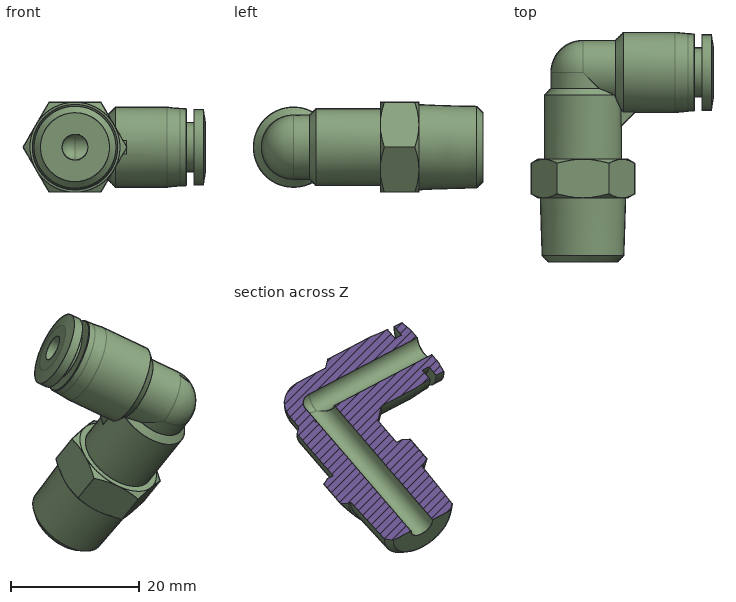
import cadquery as cq
import math


elbow_radius = 5.0
bore_radius = 2.0

stem_radius = 6.0
stem_chamfer = 1.0
stem_start = 2.5
stem_length = 29.5

hex_across_flats = 14.0
hex_start = 13.5
hex_height = 6.0
hex_end = hex_start + hex_height
hex_corner_radius = hex_across_flats / math.sqrt(3)
hex_chamfer_angle = 30.0

thread_root_radius = 6.65
thread_chamfer = 1.0
thread_taper_ratio = 1 / 32

sleeve_start = 5.05
sleeve_radius = 6.25
sleeve_taper_start = 14.35
sleeve_taper_end = 16.3
sleeve_taper_end_radius = 6.05
sleeve_rear_radius = 6.0
sleeve_end = 17.35
sleeve_edge_chamfer = 0.1

collar_neck_radius = 3.85
collar_flange_radius = 5.9
collar_flange_start = 18.5
collar_bevel_start = 19.97
collar_face_radius = 3.85
collar_end = 20.3

gusset_leg = 2.05
gusset_thickness = 2.1


def revolve_arm(profile):
    """Turn a profile of (distance, radius) points about the X axis."""
    outline = cq.Workplane("XY").polyline(profile).close()
    return outline.revolve(360, (0, 0, 0), (1, 0, 0))


def revolve_stem(profile):
    """Turn a profile of (distance, radius) points about the -Y axis."""
    points = [(radius, -distance) for distance, radius in profile]
    outline = cq.Workplane("XY").polyline(points).close()
    return outline.revolve(360, (0, 0, 0), (0, 1, 0))


def stem_cylinder(radius, start, end):
    plane = cq.Workplane("XZ", origin=(0, -start, 0))
    return plane.circle(radius).extrude(end - start)


def arm_cylinder(radius, start, end):
    plane = cq.Workplane("YZ", origin=(start, 0, 0))
    return plane.circle(radius).extrude(end - start)


def make_elbow():
    ball = cq.Workplane("XY").sphere(elbow_radius)
    down = stem_cylinder(elbow_radius, 0, hex_start)
    across = arm_cylinder(elbow_radius, 0, sleeve_taper_start)
    return ball.union(down).union(across)


def make_stem():
    return revolve_stem([
        (stem_start, 0),
        (stem_start, stem_radius - stem_chamfer),
        (stem_start + stem_chamfer, stem_radius),
        (hex_end, stem_radius),
        (hex_end, 0),
    ])


def make_hexagon():
    plane = cq.Workplane("XZ", origin=(0, -hex_start, 0))
    prism = plane.polygon(6, 2 * hex_corner_radius).extrude(hex_height)
    face_radius = hex_across_flats / 2
    overhang = hex_corner_radius - face_radius
    drop = overhang * math.tan(math.radians(hex_chamfer_angle))
    chamfer_cone = revolve_stem([
        (hex_start, 0),
        (hex_start, face_radius),
        (hex_start + drop, hex_corner_radius),
        (hex_end - drop, hex_corner_radius),
        (hex_end, face_radius),
        (hex_end, 0),
    ])
    return prism.intersect(chamfer_cone)


def make_thread():
    chamfer_start = stem_length - thread_chamfer
    tip_radius = thread_root_radius - (chamfer_start - hex_end) * thread_taper_ratio
    return revolve_stem([
        (hex_end, 0),
        (hex_end, thread_root_radius),
        (chamfer_start, tip_radius),
        (stem_length, tip_radius - thread_chamfer),
        (stem_length, 0),
    ])


def make_sleeve():
    front_chamfer = sleeve_radius - elbow_radius
    return revolve_arm([
        (sleeve_start, 0),
        (sleeve_start, elbow_radius),
        (sleeve_start + front_chamfer, sleeve_radius),
        (sleeve_taper_start, sleeve_radius),
        (sleeve_taper_end, sleeve_taper_end_radius),
        (sleeve_end - sleeve_edge_chamfer, sleeve_rear_radius),
        (sleeve_end, sleeve_rear_radius - sleeve_edge_chamfer),
        (sleeve_end, 0),
    ])


def make_collar():
    return revolve_arm([
        (sleeve_end, 0),
        (sleeve_end, collar_neck_radius),
        (collar_flange_start, collar_neck_radius),
        (collar_flange_start, collar_flange_radius),
        (collar_bevel_start, collar_flange_radius),
        (collar_end, collar_face_radius),
        (collar_end, 0),
    ])


def make_gusset():
    sloped_top_x = stem_radius + gusset_leg
    sloped_low_y = -sleeve_radius - gusset_leg
    outline = cq.Workplane("XY").polyline([
        (elbow_radius, -elbow_radius),
        (sloped_top_x, -elbow_radius),
        (sloped_top_x, -sleeve_radius),
        (stem_radius, sloped_low_y),
        (elbow_radius, sloped_low_y),
    ]).close()
    return outline.extrude(gusset_thickness / 2, both=True)


def make_bore():
    corner = cq.Workplane("XY").sphere(bore_radius)
    down = stem_cylinder(bore_radius, 0, stem_length)
    across = arm_cylinder(bore_radius, 0, collar_end)
    return corner.union(down).union(across)


body = make_elbow()
for feature in (make_stem(), make_hexagon(), make_thread(), make_sleeve(), make_collar(), make_gusset()):
    body = body.union(feature)

result = body.cut(make_bore())